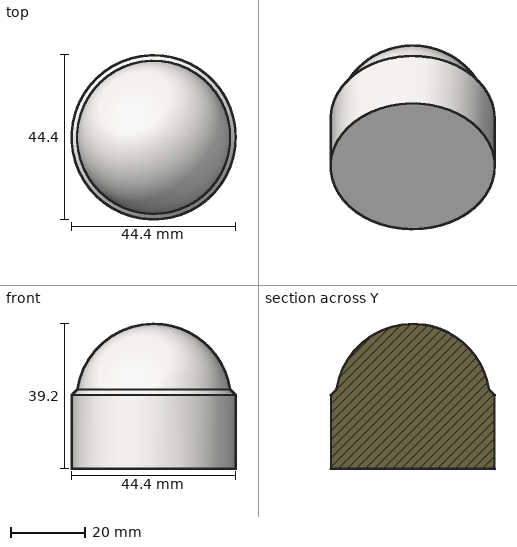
import cadquery as cq

base_diameter = 44.4
total_height = 39.2
wall_height = 20.0
shoulder_size = 1.5

base_radius = base_diameter / 2
shoulder_top = wall_height + shoulder_size
dome_foot_radius = base_radius - shoulder_size
dome_height = total_height - shoulder_top

sphere_radius = (dome_foot_radius**2 + dome_height**2) / (2 * dome_height)
sphere_center_height = total_height - sphere_radius

arc_offset = sphere_radius / 2**0.5
arc_middle = (arc_offset, sphere_center_height + arc_offset)

profile = (
    cq.Workplane("XZ")
    .lineTo(base_radius, 0)
    .lineTo(base_radius, wall_height)
    .lineTo(dome_foot_radius, shoulder_top)
    .threePointArc(arc_middle, (0, total_height))
    .close()
)

result = profile.revolve(360, (0, 0, 0), (0, 1, 0))